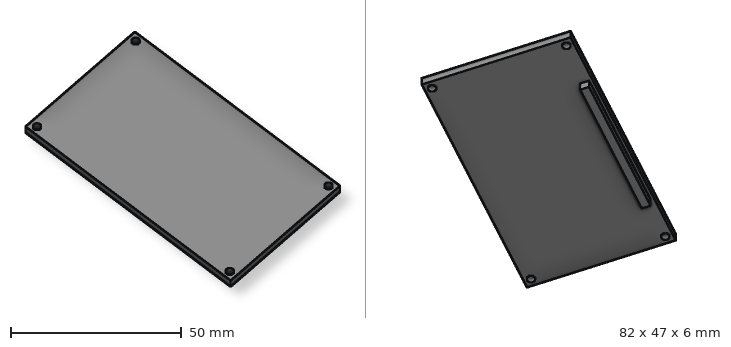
import cadquery as cq

plate_length = 82.0
plate_width = 47.0
total_height = 6.0
plate_thickness = 3.0

hole_diameter = 2.5
hole_inset_x = 2.5
hole_inset_y = 2.3

strip_length = 48.0
strip_width = 2.8
strip_edge_gap = 1.1
strip_height = total_height - plate_thickness

plate = (
    cq.Workplane("XY")
    .box(plate_length, plate_width, plate_thickness, centered=(True, True, False))
    .faces(">Z")
    .workplane()
    .rect(plate_length - 2 * hole_inset_x, plate_width - 2 * hole_inset_y, forConstruction=True)
    .vertices()
    .hole(hole_diameter)
)

strip_center_y = plate_width / 2 - strip_edge_gap - strip_width / 2
strip = (
    cq.Workplane("XY")
    .center(0, strip_center_y)
    .rect(strip_length, strip_width)
    .extrude(-strip_height)
)

result = plate.union(strip)